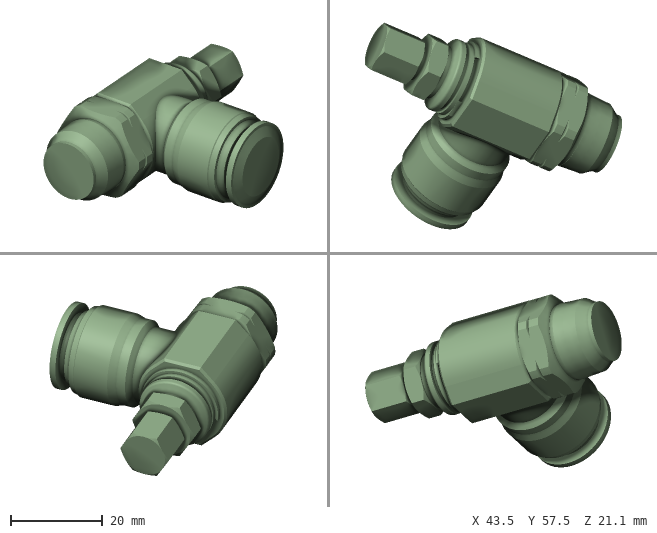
import cadquery as cq
import math


body_radius = 10.5
body_tilt = 0.42
body_half_length = 10.0
body_chamfer = 0.5

large_hex_flats = 20.0
large_hex_corner_radius = 11.05
large_hex_bottom = -17.0
notch_y = -12.95
notch_root_radius = 10.3
notch_half_width = 0.35
hex_chamfer_angle = 30.0

collar_radius = 8.5
thread_top = -17.9
thread_top_radius = 8.6
thread_middle = -20.4
thread_middle_radius = 8.42
thread_end = -23.3
thread_end_radius = 8.27
nose_top = -25.6
nose_radius = 6.72
stem_bottom = -26.5

clip_radius = 9.0
clip_top = 11.05
clip_gap_width = 10.2
clip_gap_angle = 45.0
clip_flat_z = -8.28
cap_radius = 8.28
groove_bottom = 12.05
groove_top = 13.1
groove_radius = 7.25
cap_shoulder = 14.4
cap_fillet = 0.6
cap_top = 15.45
cap_top_radius = 6.15

lock_nut_bottom = 16.5
lock_nut_top = 20.6
lock_nut_flats = 13.0
needle_radius = 3.95
knob_bottom = 21.6
knob_top = 31.0
knob_flats = 10.0

port_neck_radius = 8.55
port_neck_end = 12.4
sleeve_start = 13.6
sleeve_base_radius = 9.77
sleeve_taper_start = 15.7
sleeve_taper_end = 17.6
sleeve_radius = 10.35
sleeve_end = 25.5
ring_start = 25.7
ring_start_radius = 10.15
ring_end = 27.0
ring_end_radius = 9.8
lip_start_radius = 9.0
lip_end = 28.6
lip_end_radius = 8.45
collet_neck_radius = 7.45
collet_flare_start = 29.65
collet_flare_radius = 7.6
flange_start = 30.1
flange_end = 31.5
flange_radius = 9.75
collet_face_radius = 6.8
collet_rim_radius = 9.0
port_end = 32.44

slit_length = 0.5
slit_height = 1.0


def turned_about_y(points):
    """Solid of revolution about Y from (radius, y) points; closed along the axis."""
    outline = [(0, points[0][1])] + points + [(0, points[-1][1])]
    return cq.Workplane("XY").polyline(outline).close().revolve(360, (0, 0), (0, 1))


def turned_about_x(points):
    """Solid of revolution about X from (x, radius) points; closed along the axis."""
    outline = [(points[0][0], 0)] + points + [(points[-1][0], 0)]
    return cq.Workplane("XY").polyline(outline).close().revolve(360, (0, 0), (1, 0))


def hexagon(flats, bottom, top):
    """Hexagonal bar along Y with two flats facing +Z and -Z."""
    corner_diameter = flats / math.cos(math.radians(30))
    return (
        cq.Workplane("XZ", origin=(0, top, 0))
        .polygon(6, corner_diameter)
        .extrude(top - bottom)
    )


def chamfered_hexagon(flats, bottom, top):
    """Hexagonal bar whose corners are turned to a cone at both ends."""
    flat_radius = flats / 2
    corner_radius = flat_radius / math.cos(math.radians(30))
    drop = (corner_radius - flat_radius) * math.tan(math.radians(hex_chamfer_angle))
    envelope = turned_about_y([
        (flat_radius, bottom),
        (corner_radius, bottom + drop),
        (corner_radius, top - drop),
        (flat_radius, top),
    ])
    return hexagon(flats, bottom, top).intersect(envelope)


def make_body():
    """Round bar with three tangent flats above and three below."""
    flat_half_width = body_radius * math.tan(math.radians(45 / 2))
    tangent = body_radius * math.sin(math.radians(45))
    return (
        cq.Workplane("XZ", origin=(0, body_half_length, 0))
        .moveTo(tangent, tangent)
        .lineTo(flat_half_width, body_radius)
        .lineTo(-flat_half_width, body_radius)
        .lineTo(-tangent, tangent)
        .threePointArc((-body_radius, 0), (-tangent, -tangent))
        .lineTo(-flat_half_width, -body_radius)
        .lineTo(flat_half_width, -body_radius)
        .lineTo(tangent, -tangent)
        .threePointArc((body_radius, 0), (tangent, tangent))
        .close()
        .extrude(2 * body_half_length)
        .faces("<Y or >Y")
        .chamfer(body_chamfer)
    )


def make_large_hexagon():
    """Wrench hexagon with turned corners and a V notch around the corners."""
    slope = math.tan(math.radians(hex_chamfer_angle))
    top = -body_half_length
    flat_radius = large_hex_flats / 2
    top_drop = (large_hex_corner_radius - flat_radius) * slope
    bottom_rise = (large_hex_corner_radius - thread_top_radius) * slope
    envelope = turned_about_y([
        (thread_top_radius, large_hex_bottom),
        (large_hex_corner_radius, large_hex_bottom + bottom_rise),
        (large_hex_corner_radius, notch_y - notch_half_width),
        (notch_root_radius, notch_y),
        (large_hex_corner_radius, notch_y + notch_half_width),
        (large_hex_corner_radius, top - top_drop),
        (flat_radius, top),
    ])
    return hexagon(large_hex_flats, large_hex_bottom, top).intersect(envelope)


def make_thread():
    return turned_about_y([
        (nose_radius, stem_bottom),
        (nose_radius, nose_top),
        (thread_end_radius, thread_end),
        (thread_middle_radius, thread_middle),
        (thread_top_radius, thread_top),
        (collar_radius, thread_top),
        (collar_radius, large_hex_bottom),
    ])


def make_clip():
    """Snap ring on the stem, open towards -X and -Z, with a flat underneath."""
    thickness = clip_top - body_half_length
    middle_y = body_half_length + thickness / 2
    gap = (
        cq.Workplane("XY")
        .box(clip_radius, thickness, clip_gap_width)
        .translate((-(clip_radius + groove_radius) / 2, middle_y, 0))
        .rotate((0, 0, 0), (0, 1, 0), -clip_gap_angle)
    )
    below_flat = (
        cq.Workplane("XY")
        .box(2 * clip_radius, thickness, clip_radius)
        .translate((0, middle_y, clip_flat_z - clip_radius / 2))
    )
    ring = cq.Workplane("XZ", origin=(0, clip_top, 0)).circle(clip_radius).extrude(thickness)
    return ring.cut(gap).cut(below_flat)


def make_upper_stem():
    stem = turned_about_y([
        (groove_radius, body_half_length),
        (groove_radius, clip_top),
        (cap_radius, clip_top),
        (cap_radius, groove_bottom),
        (groove_radius, groove_bottom),
        (groove_radius, groove_top),
        (cap_radius, groove_top),
        (cap_radius, cap_shoulder),
        (cap_top_radius, cap_top),
        (cap_top_radius, lock_nut_bottom),
        (needle_radius, lock_nut_bottom),
        (needle_radius, knob_bottom),
    ])
    shoulder_edge = cq.NearestToPointSelector((0, cap_shoulder, 0))
    return stem.edges(shoulder_edge).fillet(cap_fillet)


def make_collet_slit():
    """Slit across the collet neck along Y, next to the sleeve."""
    return (
        cq.Workplane("XY")
        .box(slit_length, 2 * lip_end_radius, slit_height)
        .translate((lip_end + slit_length / 2, 0, 0))
    )


def make_side_port():
    return turned_about_x([
        (0, port_neck_radius),
        (port_neck_end, port_neck_radius),
        (sleeve_start, sleeve_base_radius),
        (sleeve_taper_start, sleeve_base_radius),
        (sleeve_taper_end, sleeve_radius),
        (sleeve_end, sleeve_radius),
        (ring_start, ring_start_radius),
        (ring_end, ring_end_radius),
        (ring_end, lip_start_radius),
        (lip_end, lip_end_radius),
        (lip_end, collet_neck_radius),
        (collet_flare_start, collet_neck_radius),
        (flange_start, collet_flare_radius),
        (flange_start, flange_radius),
        (flange_end, flange_radius),
        (flange_end, collet_rim_radius),
        (port_end, collet_face_radius),
    ]).cut(make_collet_slit())


body_with_port = make_body().union(make_side_port())

result = (
    body_with_port.rotate((0, 0, 0), (0, 1, 0), body_tilt)
    .union(make_large_hexagon())
    .union(make_thread())
    .union(make_clip())
    .union(make_upper_stem())
    .union(chamfered_hexagon(lock_nut_flats, lock_nut_bottom, lock_nut_top))
    .union(chamfered_hexagon(knob_flats, knob_bottom, knob_top))
)